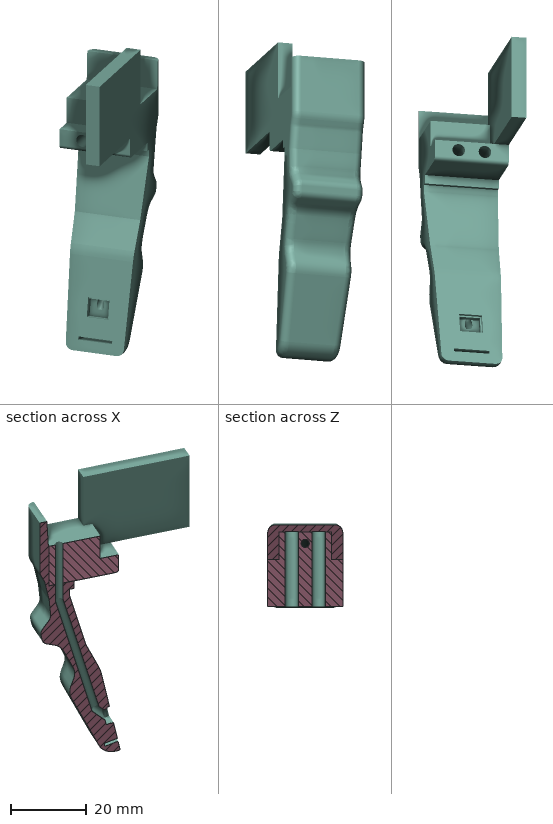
import cadquery as cq
import math


width = 20.0
half_width = width / 2
mount_top_z = 68.95
ear_front_y = -9.7
wall_foot_y = -2.5
ear_width = 3.0
block_bottom_z = 56.3

plate_thickness = 4.0
plate_back_y = -14.6
plate_front_y = -44.5
plate_bottom_z = 61.9
plate_top_z = 84.3

block_front_y = -22.3
block_step_y = -17.1
block_edge_radius = 1.0
bolt_hole_diameter = 3.4
bolt_hole_spacing = 7.1
bolt_hole_z = 59.4

wall_top_z = 76.9
wall_top_y = -2.1
ear_bottom_z = 53.95
taper_start_y = -8.5
taper_start_z = 52.0
bend_y = -13.1
bend_z = 35.6
knuckle_y = -17.2
knuckle_z = 26.6
knuckle_radius = 12.65
tip_y = -22.8
tip_z = 0.2
bend_width = 18.55
tip_width = 16.2
bend_tilt = 27
section_reach = 16.9
tip_distance = 38.8
back_edge_radius = 2.0

back_corners = [
    (0, wall_top_z, 0),
    (0, 60.7, 4.2),
    (-1.35, 58.0, 2.5),
    (-2.6, taper_start_z, 0),
    (-3.1, 46.2, 2.95),
    (-0.2, 42.4, 2.2),
    (-0.85, 38.7, 2.2),
    (-5.9, 36.6, 4.2),
    (-10.2, 27.4, 4.6),
    (-8.0, 21.5, 4.8),
    (-18.3, -0.56, 5.1),
]

pocket_z = 11.8
pocket_width = 5.7
pocket_height = 4.7
pocket_depth = 2.0
rebate_depth = 0.8
rebate_side = 0.4
rebate_top = 0.4
rebate_bottom = 0.2
slot_z = 3.5
slot_width = 9.6
slot_height = 0.85
slot_depth = 3.8

channel_diameter = 2.0
channel_path = [
    (-5.6, mount_top_z),
    (-5.6, 51.1),
    (-15.8, 14.7),
    (-19.0, 11.5),
]


def box_between(x, y, z):
    """A box from three (low, high) ranges."""
    size = (x[1] - x[0], y[1] - y[0], z[1] - z[0])
    return cq.Workplane("XY").box(*size, centered=False).translate((x[0], y[0], z[0]))


def make_plate():
    return box_between(
        (half_width - plate_thickness, half_width),
        (plate_front_y, plate_back_y),
        (plate_bottom_z, plate_top_z),
    )


def make_channel():
    """Wire channel from the block's top through the handle to the pocket, round at its bends."""
    radius = channel_diameter / 2
    points = [cq.Vector(0, y, z) for y, z in channel_path]
    channel = cq.Workplane("XY")
    for start, end in zip(points, points[1:]):
        run = end - start
        channel = channel.union(cq.Workplane(cq.Solid.makeCylinder(radius, run.Length, start, run)))
    for bend in points[1:-1]:
        channel = channel.union(cq.Workplane("XY").sphere(radius).translate(bend))
    return channel


def make_tongue():
    """Part of the block that fills the space between the ears."""
    reach = half_width - ear_width
    return box_between((-reach, reach), (ear_front_y, wall_foot_y), (block_bottom_z, mount_top_z))


def make_block(channel, plate):
    across = (-half_width, half_width)
    lower = box_between(across, (block_front_y, ear_front_y), (block_bottom_z, plate_bottom_z))
    lower = lower.edges("|X and <Y and <Z").fillet(block_edge_radius)
    upper = box_between(across, (block_step_y, ear_front_y), (plate_bottom_z, mount_top_z))
    bolt_holes = (
        cq.Workplane("XZ", origin=(0, wall_foot_y, bolt_hole_z))
        .rarray(bolt_hole_spacing, 0.85, 2, 1)
        .circle(bolt_hole_diameter / 2)
        .extrude(wall_foot_y - block_front_y)
    )
    return lower.union(upper).union(make_tongue()).cut(bolt_holes).cut(plate).cut(channel)


def rounded_corner(profile, y, z, radius):
    """Round the profile's edge along X at (y, z)."""
    reach = 0.1
    near_corner = cq.selectors.BoxSelector(
        (-width, y - reach, z - reach), (width, y + reach, z + reach)
    )
    return profile.edges(near_corner).fillet(radius)


def make_handle_profile():
    """Side outline of the handle without its ears, extruded to its full width."""
    front_outline = [
        (tip_y, tip_z),
        (knuckle_y, knuckle_z),
        (bend_y, bend_z),
        (taper_start_y, taper_start_z),
        (taper_start_y, mount_top_z),
        (wall_foot_y, mount_top_z),
        (wall_top_y, wall_top_z),
    ]
    back_outline = [(y, z) for y, z, radius in back_corners]
    profile = (
        cq.Workplane("YZ", origin=(-half_width, 0, 0))
        .polyline(front_outline + back_outline)
        .close()
        .extrude(width)
    )
    for y, z, radius in back_corners:
        if radius > 0:
            profile = rounded_corner(profile, y, z, radius)
    return rounded_corner(profile, knuckle_y, knuckle_z, knuckle_radius)


def section(section_width, y, z, tilt):
    """Rectangular wire through (y, z), rising toward -Y by the tilt in degrees."""
    rise = math.tan(math.radians(tilt))
    half = section_width / 2
    back = (y + section_reach, z - section_reach * rise)
    front = (y - section_reach, z + section_reach * rise)
    corners = [(-half, *back), (half, *back), (half, *front), (-half, *front)]
    return cq.Wire.makePolygon([cq.Vector(*corner) for corner in corners], close=True)


def make_taper():
    """Space that the handle's side faces enclose: straight at the ears, narrowing to the tip."""
    tilt = math.radians(bend_tilt)
    tip_section_y = bend_y - tip_distance * math.sin(tilt)
    tip_section_z = bend_z - tip_distance * math.cos(tilt)
    start = section(width, taper_start_y, taper_start_z, 0)
    bend = section(bend_width, bend_y, bend_z, bend_tilt)
    tip = section(tip_width, tip_section_y, tip_section_z, bend_tilt)
    straight = box_between(
        (-half_width, half_width),
        (taper_start_y - section_reach, taper_start_y + section_reach),
        (taper_start_z, wall_top_z),
    )
    narrowing = cq.Solid.makeLoft([start, bend, tip], True)
    return straight.union(cq.Workplane(narrowing))


def round_back_edges(handle):
    """Round the long edges between the handle's back and its sides."""
    back_direction = cq.Vector(0, 1, -0.5)
    facing_back = 0.2
    facing_side = 0.5
    longest_x_run = 0.85
    edges = []
    for face in handle.faces().vals():
        normal = face.normalAt()
        if normal.dot(back_direction) > facing_back and abs(normal.x) < facing_side:
            edges += [edge for edge in face.Edges() if edge.BoundingBox().xlen < longest_x_run]
    return handle.newObject(edges).fillet(back_edge_radius)


def front_face_plane(z):
    """Plane on the lower front face at height z, its normal pointing out of the handle."""
    run = knuckle_y - tip_y
    rise = knuckle_z - tip_z
    y = tip_y + (z - tip_z) * run / rise
    return cq.Plane(origin=(0, y, z), xDir=(1, 0, 0), normal=(0, -rise, run))


def make_pocket():
    """Pocket with a shallow rebate along its +X side, top and bottom."""
    face = cq.Workplane(front_face_plane(pocket_z))
    deep = face.rect(pocket_width, pocket_height).extrude(-pocket_depth)
    rebate = (
        face.center(rebate_side / 2, (rebate_top - rebate_bottom) / 2)
        .rect(pocket_width + rebate_side, pocket_height + rebate_top + rebate_bottom)
        .extrude(-rebate_depth)
    )
    return deep.union(rebate)


def make_slot():
    return cq.Workplane(front_face_plane(slot_z)).rect(slot_width, slot_height).extrude(-slot_depth)


def make_handle(channel):
    handle = round_back_edges(make_handle_profile().intersect(make_taper()))
    ears = box_between(
        (-half_width, half_width), (ear_front_y, taper_start_y), (ear_bottom_z, mount_top_z)
    )
    handle = handle.union(ears).cut(make_tongue())
    return handle.cut(channel).cut(make_pocket()).cut(make_slot())


plate = make_plate()
channel = make_channel()
block = make_block(channel, plate)
handle = make_handle(channel)
result = cq.Compound.makeCompound([plate.val(), block.val(), handle.val()])